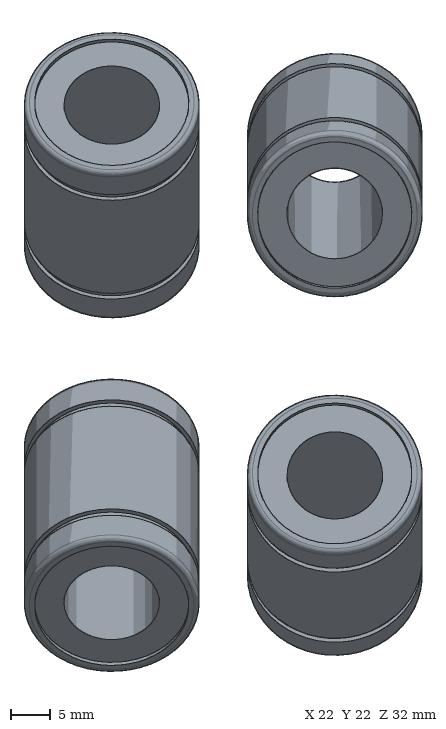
import cadquery as cq

length = 32.0
outer_diameter = 22.0
bore_diameter = 12.0
edge_radius = 0.65

groove_diameter = 21.0
groove_width = 1.25
groove_outer_span = 22.9

recess_diameter = 19.4
recess_depth = 0.6


def disc(diameter, height, bottom):
    """Solid cylinder on the Z axis, standing on the given level."""
    return cq.Workplane("XY").workplane(offset=bottom).circle(diameter / 2).extrude(height)


def groove(bottom):
    """Ring of material removed to form one retaining-ring groove."""
    ring = disc(outer_diameter, groove_width, bottom)
    return ring.cut(disc(groove_diameter, groove_width, bottom))


sleeve = disc(outer_diameter, length, -length / 2).edges("%CIRCLE").fillet(edge_radius)

result = sleeve.cut(disc(bore_diameter, length, -length / 2))

groove_outer_wall = groove_outer_span / 2
for groove_bottom in (-groove_outer_wall, groove_outer_wall - groove_width):
    result = result.cut(groove(groove_bottom))

for recess_bottom in (-length / 2, length / 2 - recess_depth):
    result = result.cut(disc(recess_diameter, recess_depth, recess_bottom))